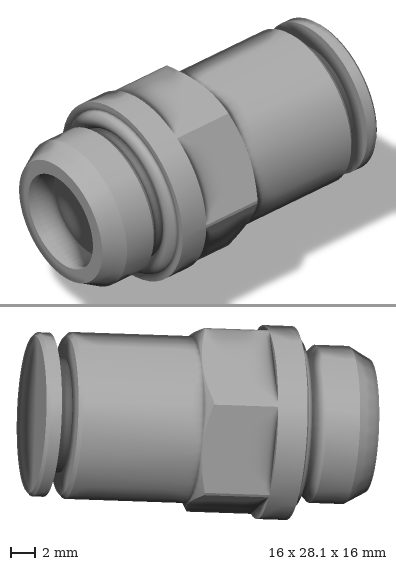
import cadquery as cq
import math

LENGTH = 28.1

NOSE_TIP_RADIUS = 5.5
NOSE_RADIUS = 6.52
NOSE_TAPER_END = 1.8
NOSE_END = 4.6
NECK_RADIUS = 5.85
BORE_RADIUS = 4.27
BORE_DEPTH = 2.7

FLANGE_DIAMETER = 16.0
FLANGE_RADIUS = FLANGE_DIAMETER / 2
FLANGE_START = 6.5
FLANGE_END = 8.95
RING_FRONT = 5.82
RING_OUTER_RADIUS = 7.33
RING_SECTION_RADIUS = 0.85

HEX_ACROSS_FLATS = 14.0
HEX_END = 15.0
HEX_CHAMFER_ANGLE = 30.0

BODY_RADIUS = 6.88
BODY_CHAMFER_START = 25.1
BODY_CHAMFER_END = 25.43
BODY_CHAMFER_WIDTH = 0.35
BODY_END = 25.6
BODY_MOUTH_RADIUS = 4.92

COLLAR_NECK_RADIUS = 4.72
COLLAR_RADIUS = 6.77
COLLAR_START = 26.85
COLLAR_ROOT_CHAMFER = 0.15
COLLAR_EDGE_CHAMFER = 0.28


def turned(profile):
    """Revolve a closed (radius, y) profile about the Y axis."""
    return cq.Workplane("XY").polyline(profile).close().revolve(360, (0, 0, 0), (0, 1, 0))


def nose_and_flange():
    neck_start = NOSE_END + NOSE_RADIUS - NECK_RADIUS
    return turned([
        (0, 0),
        (NOSE_TIP_RADIUS, 0),
        (NOSE_RADIUS, NOSE_TAPER_END),
        (NOSE_RADIUS, NOSE_END),
        (NECK_RADIUS, neck_start),
        (NECK_RADIUS, FLANGE_START),
        (FLANGE_RADIUS, FLANGE_START),
        (FLANGE_RADIUS, FLANGE_END),
        (0, FLANGE_END),
    ])


def sealing_ring():
    """Round-section ring, partly buried in the neck and in the flange face."""
    centre_radius = RING_OUTER_RADIUS - RING_SECTION_RADIUS
    centre_y = RING_FRONT + RING_SECTION_RADIUS
    return (
        cq.Workplane("XY")
        .moveTo(centre_radius, centre_y)
        .circle(RING_SECTION_RADIUS)
        .revolve(360, (0, 0, 0), (0, 1, 0))
    )


def hexagon():
    """Hexagon with two flats facing up and down, its corners trimmed to the flange radius."""
    across_corners = HEX_ACROSS_FLATS / math.cos(math.radians(30))
    prism = (
        cq.Workplane("XZ", origin=(0, HEX_END, 0))
        .polygon(6, across_corners)
        .extrude(HEX_END - FLANGE_END)
    )
    chamfer_drop = (FLANGE_RADIUS - BODY_RADIUS) * math.tan(math.radians(HEX_CHAMFER_ANGLE))
    envelope = turned([
        (0, FLANGE_END),
        (FLANGE_RADIUS, FLANGE_END),
        (FLANGE_RADIUS, HEX_END - chamfer_drop),
        (BODY_RADIUS, HEX_END),
        (0, HEX_END),
    ])
    return prism.intersect(envelope)


def body_and_collar():
    return turned([
        (0, HEX_END),
        (BODY_RADIUS, HEX_END),
        (BODY_RADIUS, BODY_CHAMFER_START),
        (BODY_RADIUS - BODY_CHAMFER_WIDTH, BODY_CHAMFER_END),
        (BODY_MOUTH_RADIUS, BODY_END),
        (COLLAR_NECK_RADIUS, BODY_END),
        (COLLAR_NECK_RADIUS, COLLAR_START - COLLAR_ROOT_CHAMFER),
        (COLLAR_NECK_RADIUS + COLLAR_ROOT_CHAMFER, COLLAR_START),
        (COLLAR_RADIUS, COLLAR_START),
        (COLLAR_RADIUS, LENGTH - COLLAR_EDGE_CHAMFER),
        (COLLAR_RADIUS - COLLAR_EDGE_CHAMFER, LENGTH),
        (0, LENGTH),
    ])


def bore():
    return cq.Workplane("XZ").circle(BORE_RADIUS).extrude(-BORE_DEPTH)


result = (
    nose_and_flange()
    .union(sealing_ring())
    .union(hexagon())
    .union(body_and_collar())
    .cut(bore())
)